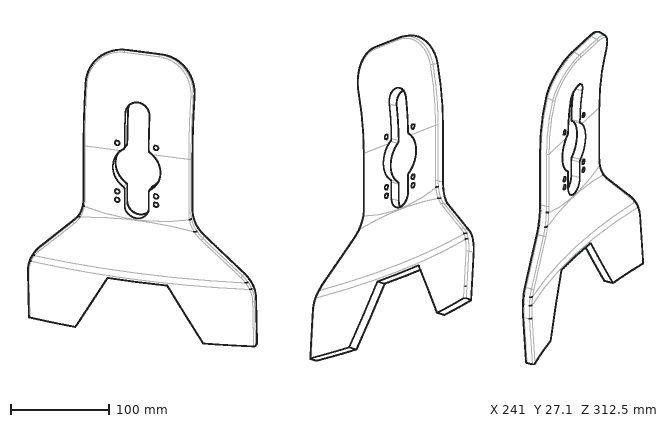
import cadquery as cq
import math

thickness = 10.0
total_height = 312.5
rim_round = 2.0

head_half_width = 57.2
foot_half_width = 120.5
head_corner_radius = 38.5
shoulder_radius = 40.0
shoulder_top = 132.2
shoulder_bottom = shoulder_top - (foot_half_width - head_half_width)

bend_start = 209.0
bend_radius = 306.2
rounding_arm = math.hypot(bend_radius - rim_round, rim_round)
rounding_lead = math.atan2(rim_round, bend_radius - rim_round)
bend_angle = rounding_lead + math.asin((total_height - rim_round - bend_start) / rounding_arm)

blend_upper_arc = (65.5, 0, 144.0, 0, 133.7)
blend_lower_arc = (68.7, 1.5, 126.5, 0, 133.0)
fold_upper_arc = (125.0, 13.0, 73.5, 1.0, 73.5)
fold_lower_arc = (125.0, 14.0, 66.0, 1.4, 66.0)
foot_arc = (125.0, 18.5, 0, 5.0, 0)

gap_height = 62.8
gap_top_half = 32.0
gap_side_angle = math.radians(30)
gap_bottom_half = gap_top_half + gap_height * math.tan(gap_side_angle)

slot_half_width = 12.8
slot_top = 262.8
slot_bottom = 135.3
eye_radius = 25.3
eye_height = 189.7
eye_corner_round = 3.0

hole_diameter = 5.0
hole_offset = 20.5
hole_heights = (153.0, 162.5, 217.0)

cut_reach = 62.5


def round_rim(piece):
    """Round the front and back edges that lie on the outer rim of the part."""
    rim_edges = []
    for edge in piece.edges().vals():
        box = edge.BoundingBox()
        runs_through_thickness = max(box.xlen, box.zlen) < thickness / 2
        crosses_middle = abs(edge.Center().x) < 3
        on_top_end = box.zmin > total_height - thickness
        if not runs_through_thickness and (on_top_end or not crosses_middle):
            rim_edges.append(edge)
    return piece.newObject(rim_edges).fillet(rim_round)


def make_head():
    def bend_point(radius, angle):
        return (bend_radius - radius * math.cos(angle), bend_start + radius * math.sin(angle))

    back_radius = bend_radius - thickness
    bent_strip = (
        cq.Workplane("YZ")
        .moveTo(0, bend_start)
        .threePointArc(bend_point(bend_radius, bend_angle / 2), bend_point(bend_radius, bend_angle))
        .lineTo(*bend_point(back_radius, bend_angle))
        .threePointArc(bend_point(back_radius, bend_angle / 2), bend_point(back_radius, 0))
        .close()
        .extrude(head_half_width, both=True)
    )
    return bent_strip.faces(">Z").edges("not |X").fillet(head_corner_radius)


def make_lower_outline():
    """Block with the outline of everything below the head bend."""
    right_side = [
        (head_half_width, bend_start),
        (head_half_width, shoulder_top),
        (foot_half_width, shoulder_bottom),
        (foot_half_width, 0),
    ]
    left_side = [(-x, z) for x, z in reversed(right_side)]
    block = cq.Workplane("XZ").polyline(right_side + left_side).close().extrude(cut_reach, both=True)
    shoulder_edges = []
    for edge in block.edges("|Y").vals():
        if 0 < edge.Center().z < bend_start:
            shoulder_edges.append(edge)
    return block.newObject(shoulder_edges).fillet(shoulder_radius)


def cross_arc(half_span, end_setback, end_height, middle_setback, middle_height):
    return cq.Edge.makeThreePointArc(
        cq.Vector(-half_span, end_setback, end_height),
        cq.Vector(0, middle_setback, middle_height),
        cq.Vector(half_span, end_setback, end_height),
    )


def make_panels():
    """Pieces of sheet between successive cross curves, trimmed to the outline."""
    bend_line_half = blend_upper_arc[0]
    curves = [cq.Edge.makeLine(
        cq.Vector(-bend_line_half, 0, bend_start), cq.Vector(bend_line_half, 0, bend_start))]
    for arc in (blend_upper_arc, blend_lower_arc, fold_upper_arc, fold_lower_arc, foot_arc):
        curves.append(cross_arc(*arc))

    outline = make_lower_outline()
    panels = []
    for upper, lower in zip(curves, curves[1:]):
        front = cq.Face.makeRuledSurface(upper, lower)
        sheet = cq.Solid.extrudeLinear(front, cq.Vector(0, thickness, 0))
        panels.append(cq.Workplane(obj=sheet).intersect(outline))
    return panels


def make_gap():
    return (
        cq.Workplane("XZ")
        .polyline([
            (-gap_bottom_half, 0),
            (-gap_top_half, gap_height),
            (gap_top_half, gap_height),
            (gap_bottom_half, 0),
        ])
        .close()
        .extrude(cut_reach, both=True)
    )


def make_keyhole():
    slot = (
        cq.Workplane("XZ")
        .center(0, (slot_top + slot_bottom) / 2)
        .slot2D(slot_top - slot_bottom, 2 * slot_half_width, 90)
        .extrude(cut_reach, both=True)
    )
    eye = cq.Workplane("XZ").center(0, eye_height).circle(eye_radius).extrude(cut_reach, both=True)
    keyhole = slot.union(eye)
    corner_edges = []
    for edge in keyhole.edges("|Y").vals():
        if abs(edge.Center().z - eye_height) < eye_radius:
            corner_edges.append(edge)
    return keyhole.newObject(corner_edges).fillet(eye_corner_round)


def make_screw_holes():
    centers = [(side * hole_offset, z) for side in (-1, 1) for z in hole_heights]
    return (
        cq.Workplane("XZ")
        .pushPoints(centers)
        .circle(hole_diameter / 2)
        .extrude(cut_reach, both=True)
    )


body = round_rim(make_head())
for panel in make_panels():
    body = body.union(round_rim(panel))

body = body.cut(make_gap()).cut(make_keyhole()).cut(make_screw_holes())
result = cq.Workplane(obj=body.solids().val())